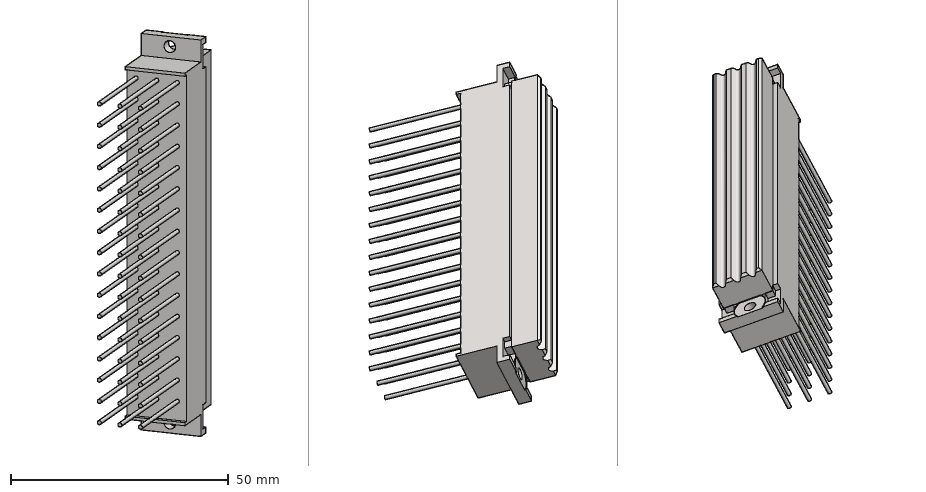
import cadquery as cq


body_width = 14.75
body_length = 84.3
body_depth = 12.0
lip_projection = 1.1
lip_thickness = 0.75

flange_length = 94.8
flange_thickness = 3.15
hole_diameter = 2.8
hole_spacing = 90.0
hole_offset_x = -0.3

groove_depth = 1.7
groove_outer_z = 45.95
groove_inner_z = 40.15
spotface_radius = 3.9
spotface_depth = 0.25
land_width = 2 * spotface_radius
core_width = 12.2

plug_width = 12.4
plug_length = 84.8
plug_projection = 6.9
plug_chamfer = 0.6
scallop_count = 3
scallop_pitch = 3.77
scallop_mouth_width = 2.6
scallop_arc_width = 1.2
scallop_arc_depth = 1.05
scallop_depth = 1.45

pin_diameter = 1.0
pin_pitch = 5.08
pin_columns = 3
pin_rows = 16
pin_field_offset_z = pin_pitch / 4
overall_depth = 41.9
pin_tip_y = plug_projection - overall_depth


def block(width, y_min, y_max, z_min, z_max):
    """Box centred on x = 0 between the given Y and Z limits."""
    return (
        cq.Workplane("XY")
        .box(width, y_max - y_min, z_max - z_min, centered=(True, False, False))
        .translate((0, y_min, z_min))
    )


def cylinder_along_y(x, z, radius, y_min, y_max):
    """Round bar parallel to Y between the given Y limits."""
    return cq.Workplane(cq.Solid.makeCylinder(
        radius, y_max - y_min, cq.Vector(x, y_min, z), cq.Vector(0, 1, 0)))


def make_housing():
    """Body with an end lip at both ends and the mounting flange."""
    half = body_length / 2
    lip_y = -body_depth - lip_projection
    body = block(body_width, lip_y, 0, -half, half)
    lip_gap = half - lip_thickness
    body = body.cut(block(body_width, lip_y, -body_depth, -lip_gap, lip_gap))
    flange = block(body_width, -flange_thickness, 0, -flange_length / 2, flange_length / 2)
    return body.union(flange)


def make_end_relief(end):
    """Material removed from the flange at one end (end = +1 or -1)."""
    groove_limits = sorted((end * groove_inner_z, end * groove_outer_z))
    groove = block(body_width, -groove_depth, 0, *groove_limits)
    core = block(core_width, -groove_depth, 0, -body_length / 2, body_length / 2)
    land = block(land_width, -groove_depth, 0, *groove_limits).translate((hole_offset_x, 0, 0))
    hole_z = end * hole_spacing / 2
    spotface = cylinder_along_y(hole_offset_x, hole_z, spotface_radius, -spotface_depth, 0)
    hole = cylinder_along_y(hole_offset_x, hole_z, hole_diameter / 2, -flange_thickness, 0)
    return groove.cut(land).union(spotface).cut(core).union(hole)


def make_scallop(x):
    """Channel with sloped sides and a round bottom along the full plug length."""
    half_mouth = scallop_mouth_width / 2
    half_arc = scallop_arc_width / 2
    return (
        cq.Workplane("XY", origin=(x, plug_projection, -plug_length / 2))
        .moveTo(-half_mouth, 0)
        .lineTo(-half_arc, -scallop_arc_depth)
        .threePointArc((0, -scallop_depth), (half_arc, -scallop_arc_depth))
        .lineTo(half_mouth, 0)
        .close()
        .extrude(plug_length)
    )


def make_plug():
    """Plug chamfered around its mating face, with scallops along that face."""
    plug = block(plug_width, 0, plug_projection, -plug_length / 2, plug_length / 2)
    plug = plug.faces(">Y").chamfer(plug_chamfer)
    for index in range(scallop_count):
        x = (index - (scallop_count - 1) / 2) * scallop_pitch
        plug = plug.cut(make_scallop(x))
    return plug


def make_pins():
    """All pins, each standing on the pin-side face of the body."""
    pin_length = -body_depth - pin_tip_y
    return (
        cq.Workplane("XZ", origin=(0, -body_depth, pin_field_offset_z))
        .rarray(pin_pitch, pin_pitch, pin_columns, pin_rows)
        .circle(pin_diameter / 2)
        .extrude(pin_length)
    )


housing = make_housing()
for end in (1, -1):
    housing = housing.cut(make_end_relief(end))

result = housing.union(make_plug()).union(make_pins())